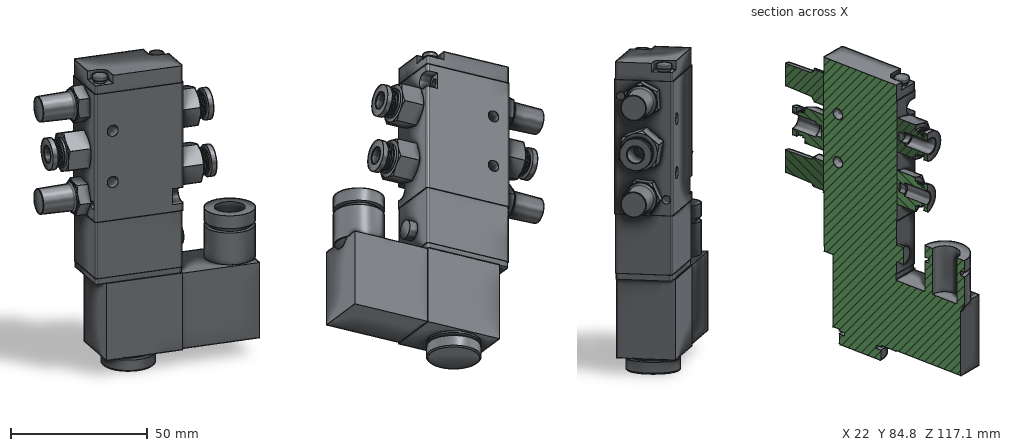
import cadquery as cq
import math


BLOCK_X = 22.0
BLOCK_Y = 35.0
BLOCK_H = 50.0
BLOCK_CORNER_R = 1.0
BLOCK_MID_Z = BLOCK_H / 2
FACE_Y = BLOCK_Y / 2

SIDE_HOLE_D = 4.3
SIDE_HOLE_Y = -10.5
SIDE_HOLE_PITCH = 20.0
MOUNT_HOLE_D = 3.1
MOUNT_HOLE_X = 8.5
MOUNT_HOLE_PITCH = 38.0
MOUNT_NOTCH_D = 6.2
MOUNT_NOTCH_DEPTH = 4.4

INSET = 0.3
CAP_X = BLOCK_X - 2 * INSET
CAP_Y = BLOCK_Y - 2 * INSET
CAP_H = 6.5
CAP_TOP_Z = BLOCK_H + CAP_H
CAP_CORNER_R = BLOCK_CORNER_R - INSET
ADAPTER_H = 22.1
COLLAR_H = 2.2
COLLAR_INSET = 0.15
COLLAR_CORNER_R = 1.0
COLLAR_BOTTOM_Z = -ADAPTER_H - COLLAR_H

POCKET_X = 3.0
POCKET_Y = 10.2
POCKET_DEPTH = 3.2
POCKET_R = 3.0
SCREW_X = 7.0
SCREW_Y = 14.0
SCREW_HEAD_D = 5.4
SCREW_SUNK = 0.4
SCREW_HEAD_H = 1.8
SCREW_EDGE = 0.5
SCREW_SHANK_D = 4.6

BUTTON_D = 7.2
BUTTON_LENGTH = 3.3
BUTTON_Z = -13.4

COIL_X = BLOCK_X
COIL_FRONT_Y = -13.0
COIL_BACK_Y = 17.0
COIL_H = 30.0
COIL_BOTTOM_Z = COLLAR_BOTTOM_Z - COIL_H
KNOB_D = 20.0
KNOB_WASHER_H = 0.7
KNOB_NECK_D = 15.0
KNOB_NECK_H = 1.1
KNOB_H = 4.5
KNOB_CHAMFER = 0.5

CONNECTOR_X = 21.0
CONNECTOR_BACK_Y = 47.6
CONNECTOR_END_GAP = 0.3
CONNECTOR_TOP_Z = COLLAR_BOTTOM_Z - CONNECTOR_END_GAP
CONNECTOR_H = COIL_H - 2 * CONNECTOR_END_GAP
GLAND_Y = 40.0
GLAND_D = 18.8
GLAND_BODY_H = 12.4
GLAND_GROOVE_D = 15.3
GLAND_GROOVE_H = 1.7
GLAND_NUT_H = 5.0
GLAND_BORE_D = 11.2
GLAND_H = GLAND_BODY_H + GLAND_GROOVE_H + GLAND_NUT_H
GLAND_CONE_H = 2.6
GLAND_CONE_TOP_D = 17.8
GLAND_CONE_BOTTOM_D = 15.4

EXHAUST_PITCH = 36.0
OUTLET_PITCH = 21.1
OUTLET_SHIFT_X = 1.5

FITTING_AF = 14.0
FITTING_HEX_L = 8.8
FITTING_SLEEVE_D = 10.9
FITTING_SLEEVE_END = 9.7
FITTING_STEP_D = 9.6
FITTING_RIDGE_D = 10.2
FITTING_RIDGE_START = 10.3
FITTING_RIDGE_PITCH = 0.7
FITTING_RIDGES = 2
FITTING_NECK_D = 8.2
FITTING_FLANGE_D = 11.9
FITTING_FLANGE_START = 12.5
FITTING_LENGTH = 14.5
TUBE_BORE_D = 6.2
TUBE_BORE_DEPTH = 11.0
TUBE_BORE_CHAMFER = 0.25
FLOW_BORE_D = 4.7
FLOW_BORE_DEPTH = FITTING_LENGTH - 1.0
INLET_HEX_TURN = 20.5
OUTLET_HEX_TURN = 13.5

SILENCER_AF = 12.2
SILENCER_HEX_L = 4.6
SILENCER_COLLAR_D = 11.7
SILENCER_COLLAR_L = 0.5
SILENCER_ROOT_D = 10.1
SILENCER_FLARE_L = 0.7
SILENCER_TIP_D = 9.5
SILENCER_TIP_CHAMFER = 0.2
SILENCER_LENGTH = 17.9
UPPER_SILENCER_TURN = 33.5
LOWER_SILENCER_TURN = -5.5

HEX_CHAMFER_ANGLE = 20.0


def rounded_block(size_x, size_y, bottom_z, height, corner_r):
    """Upright block centred on the Z axis with rounded vertical edges."""
    block = cq.Workplane("XY", origin=(0, 0, bottom_z)).rect(size_x, size_y).extrude(height)
    return block.edges("|Z").fillet(corner_r)


def box_between(x0, x1, y0, y1, z0, z1):
    return cq.Workplane("XY").box(x1 - x0, y1 - y0, z1 - z0, centered=False).translate((x0, y0, z0))


def disc(diameter, bottom, height):
    """Upright cylinder on the Z axis."""
    return cq.Workplane("XY", origin=(0, 0, bottom)).circle(diameter / 2).extrude(height)


def half_turn(shape):
    """Copy turned half a turn about the Z axis."""
    return shape.rotate((0, 0, 0), (0, 0, 1), 180)


def cap():
    body = rounded_block(CAP_X, CAP_Y, BLOCK_H, CAP_H, CAP_CORNER_R)
    floor_z = CAP_TOP_Z - POCKET_DEPTH
    pocket = box_between(-BLOCK_X, -POCKET_X, POCKET_Y, BLOCK_Y, floor_z, CAP_TOP_Z)
    pocket = pocket.edges("|Z and >X and <Y").fillet(POCKET_R)
    head_z = CAP_TOP_Z - SCREW_SUNK - SCREW_HEAD_H
    screw = disc(SCREW_HEAD_D, head_z, SCREW_HEAD_H).faces(">Z").edges().fillet(SCREW_EDGE)
    screw = screw.union(disc(SCREW_SHANK_D, floor_z, head_z - floor_z))
    screw = screw.translate((-SCREW_X, SCREW_Y, 0))
    body = body.cut(pocket).cut(half_turn(pocket))
    return body.union(screw).union(half_turn(screw))


def mount_notch():
    """Round-ended notch at the upper back edge, open to the -X side."""
    z = BLOCK_MID_Z + MOUNT_HOLE_PITCH / 2
    radius = MOUNT_NOTCH_D / 2
    y0 = FACE_Y - MOUNT_NOTCH_DEPTH
    round_end = (
        cq.Workplane("XZ", origin=(-MOUNT_HOLE_X, FACE_Y, z)).circle(radius).extrude(MOUNT_NOTCH_DEPTH)
    )
    opening = box_between(-BLOCK_X, -MOUNT_HOLE_X, y0, FACE_Y, z - radius, z + radius)
    return round_end.union(opening)


def valve_block():
    block = rounded_block(BLOCK_X, BLOCK_Y, 0, BLOCK_H, BLOCK_CORNER_R)
    side_holes = (
        cq.Workplane("YZ", origin=(0, SIDE_HOLE_Y, BLOCK_MID_Z))
        .rarray(1, SIDE_HOLE_PITCH, 1, 2)
        .circle(SIDE_HOLE_D / 2)
        .extrude(BLOCK_X / 2, both=True)
    )
    half_pitch = MOUNT_HOLE_PITCH / 2
    mount_holes = (
        cq.Workplane("XZ", origin=(0, 0, BLOCK_MID_Z))
        .pushPoints([(-MOUNT_HOLE_X, half_pitch), (MOUNT_HOLE_X, -half_pitch)])
        .circle(MOUNT_HOLE_D / 2)
        .extrude(BLOCK_Y / 2, both=True)
    )
    upper_notch = mount_notch()
    lower_notch = upper_notch.rotate((0, 0, BLOCK_MID_Z), (0, 1, BLOCK_MID_Z), 180)
    return block.cut(side_holes).cut(mount_holes).cut(upper_notch).cut(lower_notch)


def adapter():
    body = rounded_block(CAP_X, CAP_Y, -ADAPTER_H, ADAPTER_H, CAP_CORNER_R)
    collar_x = CAP_X - 2 * COLLAR_INSET
    collar_y = CAP_Y - 2 * COLLAR_INSET
    collar = rounded_block(collar_x, collar_y, COLLAR_BOTTOM_Z, COLLAR_H, COLLAR_CORNER_R)
    button = (
        cq.Workplane("XZ", origin=(0, CAP_Y / 2, BUTTON_Z)).circle(BUTTON_D / 2).extrude(-BUTTON_LENGTH)
    )
    return body.union(collar).union(button)


def coil():
    half_x = COIL_X / 2
    body = box_between(-half_x, half_x, COIL_FRONT_Y, COIL_BACK_Y, COIL_BOTTOM_Z, COLLAR_BOTTOM_Z)
    washer = disc(KNOB_D, COIL_BOTTOM_Z, -KNOB_WASHER_H)
    neck_z = COIL_BOTTOM_Z - KNOB_WASHER_H
    neck = disc(KNOB_NECK_D, neck_z, -KNOB_NECK_H)
    knob = disc(KNOB_D, neck_z - KNOB_NECK_H, -KNOB_H).faces("<Z").edges().chamfer(KNOB_CHAMFER)
    return body.union(washer).union(neck).union(knob)


def connector():
    half_x = CONNECTOR_X / 2
    bottom_z = CONNECTOR_TOP_Z - CONNECTOR_H
    housing = box_between(-half_x, half_x, COIL_BACK_Y, CONNECTOR_BACK_Y, bottom_z, CONNECTOR_TOP_Z)
    gland = (
        disc(GLAND_D, 0, GLAND_BODY_H)
        .union(disc(GLAND_GROOVE_D, GLAND_BODY_H, GLAND_GROOVE_H))
        .union(disc(GLAND_D, GLAND_BODY_H + GLAND_GROOVE_H, GLAND_NUT_H))
    )
    bore = disc(GLAND_BORE_D, 0, GLAND_H)
    cone = (
        cq.Workplane("XY")
        .circle(GLAND_CONE_TOP_D / 2)
        .workplane(offset=-GLAND_CONE_H)
        .circle(GLAND_CONE_BOTTOM_D / 2)
        .loft()
    )
    gland = gland.cut(bore).union(cone)
    return housing.union(gland.translate((0, GLAND_Y, CONNECTOR_TOP_Z)))


def hex_nut(across_flats, length, turn, both_ends):
    """Hexagon on the Z axis with chamfered corners, one corner at the given angle from X."""
    corner_d = across_flats / math.cos(math.pi / 6)
    nut = cq.Workplane("XY").polygon(6, corner_d).extrude(length)
    drop = (corner_d - across_flats) / 2 * math.tan(math.radians(HEX_CHAMFER_ANGLE))
    flat_r = across_flats / 2
    corner_r = corner_d / 2
    foot_r = flat_r if both_ends else corner_r
    envelope = (
        cq.Workplane("XZ")
        .moveTo(0, 0)
        .lineTo(foot_r, 0)
        .lineTo(corner_r, drop)
        .lineTo(corner_r, length - drop)
        .lineTo(flat_r, length)
        .lineTo(0, length)
        .close()
        .revolve(360, (0, 0, 0), (0, 1, 0))
    )
    return nut.intersect(envelope).rotate((0, 0, 0), (0, 0, 1), turn)


def face_forward(shape, x, z):
    """Move a part built along +Z to a port on the -Y face of the block."""
    return shape.rotate((0, 0, 0), (1, 0, 0), 90).translate((x, -FACE_Y, z))


def fitting_ridges():
    """Sharp rings next to each other around the fitting's stepped neck."""
    outer_r = FITTING_RIDGE_D / 2
    root_r = FITTING_STEP_D / 2
    z = FITTING_RIDGE_START
    profile = cq.Workplane("XZ").moveTo(0, z).lineTo(root_r, z)
    for _ in range(FITTING_RIDGES):
        profile = profile.lineTo(outer_r, z + FITTING_RIDGE_PITCH / 2)
        z += FITTING_RIDGE_PITCH
        profile = profile.lineTo(root_r, z)
    return profile.lineTo(0, z).close().revolve(360, (0, 0, 0), (0, 1, 0))


def push_in_fitting(turn):
    fitting = (
        hex_nut(FITTING_AF, FITTING_HEX_L, turn, True)
        .union(disc(FITTING_SLEEVE_D, FITTING_HEX_L, FITTING_SLEEVE_END - FITTING_HEX_L))
        .union(disc(FITTING_STEP_D, FITTING_SLEEVE_END, FITTING_RIDGE_START - FITTING_SLEEVE_END))
        .union(fitting_ridges())
        .union(disc(FITTING_NECK_D, FITTING_RIDGE_START, FITTING_FLANGE_START - FITTING_RIDGE_START))
        .union(disc(FITTING_FLANGE_D, FITTING_FLANGE_START, FITTING_LENGTH - FITTING_FLANGE_START))
    )
    tube_bore = disc(TUBE_BORE_D, FITTING_LENGTH, -TUBE_BORE_DEPTH)
    flow_bore = disc(FLOW_BORE_D, FITTING_LENGTH, -FLOW_BORE_DEPTH)
    fitting = fitting.cut(tube_bore).cut(flow_bore)
    return fitting.faces(">Z").edges(cq.selectors.RadiusNthSelector(0)).chamfer(TUBE_BORE_CHAMFER)


def silencer(turn):
    collar_end = SILENCER_HEX_L + SILENCER_COLLAR_L
    flare_end = collar_end + SILENCER_FLARE_L
    collar_r = SILENCER_COLLAR_D / 2
    root_r = SILENCER_ROOT_D / 2
    tip_r = SILENCER_TIP_D / 2
    bend = math.sqrt(0.5)
    flare_mid_r = collar_r - (collar_r - root_r) * bend
    flare_mid = flare_end - SILENCER_FLARE_L * bend
    plug = (
        cq.Workplane("XZ")
        .moveTo(0, SILENCER_HEX_L)
        .lineTo(collar_r, SILENCER_HEX_L)
        .lineTo(collar_r, collar_end)
        .threePointArc((flare_mid_r, flare_mid), (root_r, flare_end))
        .lineTo(tip_r, SILENCER_LENGTH - SILENCER_TIP_CHAMFER)
        .lineTo(tip_r - SILENCER_TIP_CHAMFER, SILENCER_LENGTH)
        .lineTo(0, SILENCER_LENGTH)
        .close()
        .revolve(360, (0, 0, 0), (0, 1, 0))
    )
    return hex_nut(SILENCER_AF, SILENCER_HEX_L, turn, False).union(plug)


valve = valve_block().union(cap()).union(adapter()).union(coil()).union(connector())

fittings = [face_forward(push_in_fitting(INLET_HEX_TURN), 0, BLOCK_MID_Z)]
for side in (1, -1):
    outlet = face_forward(
        push_in_fitting(-OUTLET_HEX_TURN), side * OUTLET_SHIFT_X, BLOCK_MID_Z + side * OUTLET_PITCH / 2
    )
    fittings.append(half_turn(outlet))

silencers = []
for side, hex_turn in ((1, UPPER_SILENCER_TURN), (-1, LOWER_SILENCER_TURN)):
    silencers.append(face_forward(silencer(hex_turn), 0, BLOCK_MID_Z + side * EXHAUST_PITCH / 2))

result = cq.Compound.makeCompound([valve.val(), *[part.val() for part in fittings + silencers]])